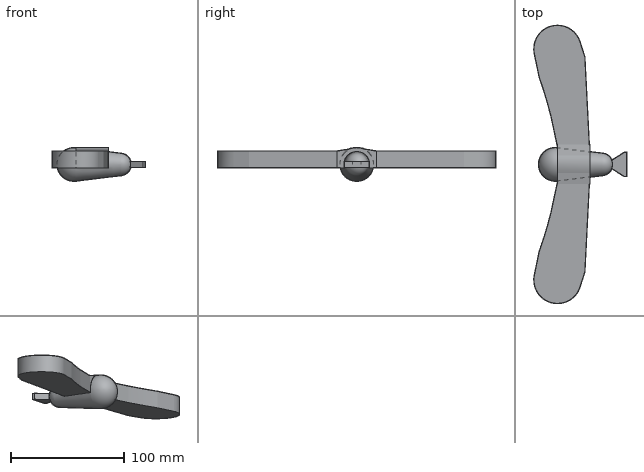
import cadquery as cq
import math


nose_radius = 15.0
stern_radius = 10.0
cone_length = 40.1

span = 246.3
blade_bottom = -3.0
blade_top = 12.0
blade_root_length = 28.3
hub_length = 28.8
hub_half_width = 17.5
crown_half_width = 8.0
crown_edge_z = 13.5

fin_thickness = 5.5
fin_start = 48.3
fin_flare_end = 59.0
fin_end = 61.3
fin_neck_half_width = 4.0
fin_half_width = 10.8


def make_body():
    """Revolve the round-ended tapered body about the X axis."""
    radius_drop = nose_radius - stern_radius
    sin_taper = (math.hypot(cone_length, 2 * radius_drop) - cone_length) / (2 * radius_drop)
    cos_taper = math.sqrt(1 - sin_taper**2)
    half_angle = (math.pi / 2 - math.asin(sin_taper)) / 2
    nose_center = -nose_radius * sin_taper
    stern_center = cone_length - stern_radius * sin_taper
    nose_middle = (
        nose_center - nose_radius * math.cos(math.pi / 4),
        nose_radius * math.sin(math.pi / 4),
    )
    stern_middle = (
        stern_center + stern_radius * math.cos(half_angle),
        stern_radius * math.sin(half_angle),
    )
    return (
        cq.Workplane("XY")
        .moveTo(nose_center - nose_radius, 0)
        .threePointArc(nose_middle, (0, nose_radius * cos_taper))
        .lineTo(cone_length, stern_radius * cos_taper)
        .threePointArc(stern_middle, (stern_center + stern_radius, 0))
        .close()
        .revolve(360, (0, 0, 0), (1, 0, 0))
    )


def make_blade():
    """Extrude the +Y blade, from inside the hub out to its round tip."""
    return (
        cq.Workplane("XY")
        .workplane(offset=blade_bottom)
        .moveTo(0, 0)
        .lineTo(0, 15.3)
        .lineTo(-6.0, 42.9)
        .threePointArc((-10.5, 59.9), (-16.3, 77.0))
        .lineTo(-20.7, 98.5)
        .threePointArc((0.2, span / 2), (20.0, 108.9))
        .lineTo(24.5, 95.0)
        .lineTo(blade_root_length, hub_half_width)
        .lineTo(blade_root_length, 0)
        .close()
        .extrude(blade_top - blade_bottom)
    )


def make_hub():
    """Extrude the hub: a convex crown between flat flanks that slope down to the blades."""
    return (
        cq.Workplane("YZ")
        .moveTo(-hub_half_width, blade_bottom)
        .lineTo(-hub_half_width, blade_top)
        .lineTo(-crown_half_width, crown_edge_z)
        .threePointArc((0, nose_radius), (crown_half_width, crown_edge_z))
        .lineTo(hub_half_width, blade_top)
        .lineTo(hub_half_width, blade_bottom)
        .close()
        .extrude(hub_length)
    )


def make_fin():
    """Extrude the flared tail fin, with its neck buried in the body."""
    return (
        cq.Workplane("XY")
        .workplane(offset=-fin_thickness / 2)
        .moveTo(cone_length, -fin_neck_half_width)
        .lineTo(fin_start, -fin_neck_half_width)
        .lineTo(fin_flare_end, -fin_half_width)
        .lineTo(fin_end, -fin_half_width)
        .lineTo(fin_end, fin_half_width)
        .lineTo(fin_flare_end, fin_half_width)
        .lineTo(fin_start, fin_neck_half_width)
        .lineTo(cone_length, fin_neck_half_width)
        .close()
        .extrude(fin_thickness)
    )


blade = make_blade()
result = make_hub().union(blade).union(blade.mirror("XZ")).union(make_body()).union(make_fin())